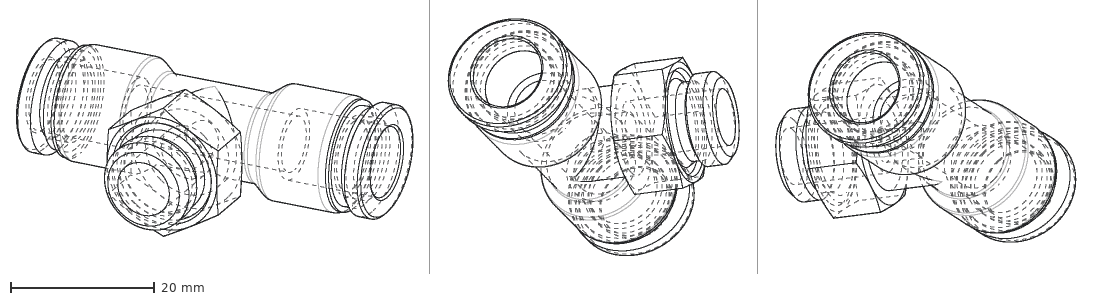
import cadquery as cq
import math

LENGTH = 53.4
HALF_LENGTH = LENGTH / 2
FULL_TURN = 360

FLANGE_WIDTH = 17.6
FLANGE_HEIGHT = 16.1
FLANGE_THICKNESS = 2.35
FLANGE_CHAMFER = 0.4
COLLAR_DIAMETER = 11.7
COLLAR_BORE = 10.15
COLLAR_LENGTH = 5.35
COLLAR_MOUTH_CHAMFER = 0.3
COLLAR_INNER_END = HALF_LENGTH - COLLAR_LENGTH
FLANGE_START = HALF_LENGTH - FLANGE_THICKNESS

TUBE_DIAMETER = 13.0
TUBE_BORE = 8.0
CONE_START = 8.0
CONE_END = 10.55
CONE_FILLET = 1.0
SOCKET_DIAMETER = 16.7
SOCKET_BORE = 10.2
SOCKET_STOP = 12.3
RING_DIAMETER = 16.1
RING_WIDTH = 0.5
RING_END = 21.5
RING_START = RING_END - RING_WIDTH
SHOULDER_LENGTH = 1.0
SHOULDER_START = RING_START - SHOULDER_LENGTH
NOSE_DIAMETER = 14.4
NOSE_END = 23.1
PORT_DIAMETER = 5.0

HEX_CORNERS = 19.65
HEX_FLATS = HEX_CORNERS * math.cos(math.pi / 6)
HEX_START = 8.9
HEX_LENGTH = 8.1
HEX_END = HEX_START + HEX_LENGTH
HEX_CHAMFER_ANGLE = math.radians(20)
STUD_END = 22.95
STUD_BORE = 8.0
THREAD_DIAMETER = 13.15
THREAD_LENGTH = 3.5
THREAD_START = STUD_END - THREAD_LENGTH
THREAD_CHAMFER = 1.0
THREAD_RUNOUT = 0.55
NECK_DIAMETER = 11.2
NECK_START = 17.45
NECK_CONE_ANGLE = math.radians(30)
RECESS_MOUTH_DIAMETER = 15.25
RECESS_FLOOR_DIAMETER = 14.65
RECESS_DEPTH = 0.75
RECESS_FLOOR = HEX_END - RECESS_DEPTH


def run_cylinder(diameter, start, end):
    """Cylinder on the X axis between two X positions."""
    return cq.Workplane("YZ", origin=(start, 0, 0)).circle(diameter / 2).extrude(end - start)


def branch_cylinder(diameter, start, end):
    """Cylinder on the branch axis between two distances from the run axis."""
    return cq.Workplane("XZ", origin=(0, -start, 0)).circle(diameter / 2).extrude(end - start)


def branch_revolve(points):
    """Solid of revolution about the branch axis from (radius, distance) points, closed along the axis."""
    first_distance = points[0][1]
    last_distance = points[-1][1]
    outline = [(0, -first_distance)]
    outline += [(radius, -distance) for radius, distance in points]
    outline += [(0, -last_distance)]
    return cq.Workplane("XY").polyline(outline).close().revolve(FULL_TURN, (0, 0, 0), (0, 1, 0))


def make_collar():
    """Release collar of the +X end: an oval flange on a round sleeve."""
    flange = (
        cq.Workplane("YZ", origin=(FLANGE_START, 0, 0))
        .ellipse(FLANGE_WIDTH / 2, FLANGE_HEIGHT / 2)
        .extrude(FLANGE_THICKNESS)
        .faces(">X").edges().chamfer(FLANGE_CHAMFER)
    )
    sleeve = run_cylinder(COLLAR_DIAMETER, COLLAR_INNER_END, FLANGE_START)
    bore = run_cylinder(COLLAR_BORE, COLLAR_INNER_END, HALF_LENGTH)
    collar = flange.union(sleeve).cut(bore)
    return collar.faces(">X").edges("%CIRCLE").chamfer(COLLAR_MOUTH_CHAMFER)


def make_run_end():
    """Solid outer shape of the +X socket, from the tube outward to the nose."""
    shoulder_drop = (SOCKET_DIAMETER - RING_DIAMETER) / 2
    shoulder_radius = (SHOULDER_LENGTH ** 2 + shoulder_drop ** 2) / (2 * shoulder_drop)
    return (
        cq.Workplane("XY")
        .moveTo(CONE_START, 0)
        .lineTo(CONE_START, TUBE_DIAMETER / 2)
        .lineTo(CONE_END, SOCKET_DIAMETER / 2)
        .lineTo(SHOULDER_START, SOCKET_DIAMETER / 2)
        .radiusArc((RING_START, RING_DIAMETER / 2), shoulder_radius)
        .lineTo(RING_END, RING_DIAMETER / 2)
        .lineTo(RING_END, NOSE_DIAMETER / 2)
        .lineTo(NOSE_END, NOSE_DIAMETER / 2)
        .lineTo(NOSE_END, 0)
        .close()
        .revolve(FULL_TURN, (0, 0, 0), (1, 0, 0))
    )


def edges_at(x):
    """Selector for the edges that lie in the plane at the given X."""
    margin = 0.05
    low_corner = (x - margin, -LENGTH, -LENGTH)
    high_corner = (x + margin, LENGTH, LENGTH)
    return cq.selectors.BoxSelector(low_corner, high_corner, boundingbox=True)


def make_tee():
    end = make_run_end()
    tube = run_cylinder(TUBE_DIAMETER, -CONE_START, CONE_START)
    tee = tube.union(end).union(end.mirror("YZ"))
    for x in (CONE_START, CONE_END):
        tee = tee.edges(edges_at(x) + edges_at(-x)).fillet(CONE_FILLET)

    tee = tee.union(branch_cylinder(TUBE_DIAMETER, 0, HEX_START))

    tee = tee.cut(run_cylinder(TUBE_BORE, -NOSE_END, NOSE_END))
    for side in (-1, 1):
        tee = tee.cut(run_cylinder(SOCKET_BORE, side * SOCKET_STOP, side * NOSE_END))
        tee = tee.cut(run_cylinder(COLLAR_DIAMETER, side * COLLAR_INNER_END, side * NOSE_END))
    return tee.cut(branch_cylinder(PORT_DIAMETER, 0, HEX_START))


def make_hexagon():
    """Hexagon with two corners on Z, its corners chamfered at both ends."""
    corner_radius = HEX_CORNERS / 2
    flat_radius = HEX_FLATS / 2
    chamfer_depth = (corner_radius - flat_radius) * math.tan(HEX_CHAMFER_ANGLE)
    quarter_turn = 90
    prism = (
        cq.Workplane("XZ", origin=(0, -HEX_START, 0))
        .polygon(6, HEX_CORNERS)
        .extrude(HEX_LENGTH)
        .rotate((0, 0, 0), (0, 1, 0), quarter_turn)
    )
    chamfered_blank = branch_revolve([
        (flat_radius, HEX_START),
        (corner_radius, HEX_START + chamfer_depth),
        (corner_radius, HEX_END - chamfer_depth),
        (flat_radius, HEX_END),
    ])
    return prism.intersect(chamfered_blank)


def make_shank():
    """Neck and thread, rising from the recess floor as a cone."""
    neck_radius = NECK_DIAMETER / 2
    thread_radius = THREAD_DIAMETER / 2
    cone_base_radius = neck_radius + (NECK_START - RECESS_FLOOR) * math.tan(NECK_CONE_ANGLE)
    return branch_revolve([
        (cone_base_radius, RECESS_FLOOR),
        (neck_radius, NECK_START),
        (neck_radius, THREAD_START - THREAD_RUNOUT),
        (thread_radius, THREAD_START),
        (thread_radius, STUD_END - THREAD_CHAMFER),
        (thread_radius - THREAD_CHAMFER, STUD_END),
    ])


def make_stud():
    recess = branch_revolve([
        (RECESS_FLOOR_DIAMETER / 2, RECESS_FLOOR),
        (RECESS_MOUTH_DIAMETER / 2, HEX_END),
    ])
    bore = branch_cylinder(STUD_BORE, HEX_START, STUD_END)
    return make_hexagon().cut(recess).union(make_shank()).cut(bore)


tee = make_tee()
stud = make_stud()
collar = make_collar()
collars = [collar, collar.mirror("YZ")]

result = cq.Compound.makeCompound([tee.val(), stud.val(), *[c.val() for c in collars]])